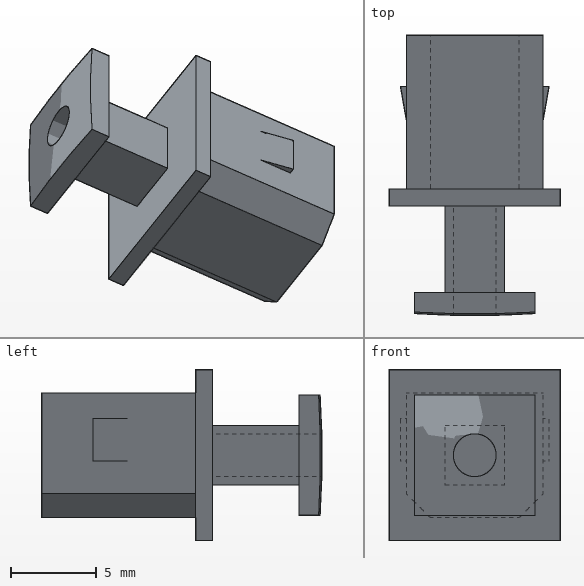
import cadquery as cq
import math

flange_size = 10.0
flange_thickness = 1.0

body_width = 8.0
body_length = 9.0
body_height = 7.3
body_top = body_height / 2
body_chamfer = 1.4

wedge_length = 2.0
wedge_height = 2.5
wedge_protrusion = 0.35
wedge_tip_setback = 3.0
wedge_top_setback = 1.5

neck_size = 3.5
neck_length = 5.04
head_size = 7.05
head_rim_thickness = 1.35
dome_radius = 60.0
hole_diameter = 2.5
hole_depth = head_rim_thickness + neck_length

dome_cap = dome_radius - math.sqrt(dome_radius**2 - (hole_diameter / 2) ** 2)
head_thickness = head_rim_thickness + dome_cap

neck_start = -flange_thickness
head_start = neck_start - neck_length
dome_apex = head_start - head_thickness


def square_block(size, start, length):
    """Square block centred on the Y axis, running from Y = start towards -Y."""
    return cq.Workplane("XZ", origin=(0, start, 0)).rect(size, size).extrude(length)


def make_body():
    """Plug body with its two lower long edges chamfered."""
    body = cq.Workplane("XY").box(body_width, body_length, body_height)
    body = body.edges("|Y and <Z").chamfer(body_chamfer)
    return body.translate((0, body_length / 2, 0))


def make_wedge(side):
    """Snap wedge on the +X (side = 1) or -X (side = -1) face of the body."""
    wall = side * body_width / 2
    tip = wall + side * wedge_protrusion
    high_end = body_length - wedge_tip_setback
    low_end = high_end - wedge_length
    wedge_bottom = body_top - wedge_top_setback - wedge_height
    outline = [(0, low_end), (wall, low_end), (tip, high_end), (0, high_end)]
    base = cq.Workplane("XY", origin=(0, 0, wedge_bottom))
    return base.polyline(outline).close().extrude(wedge_height)


def make_head():
    """Square head whose end face is a shallow sphere, convex towards -Y."""
    dome = cq.Workplane("XY").sphere(dome_radius).translate((0, dome_apex + dome_radius, 0))
    return square_block(head_size, head_start, head_thickness).intersect(dome)


def make_hole():
    """Blind hole entering the head along the Y axis."""
    return (
        cq.Workplane("XZ", origin=(0, neck_start, 0))
        .circle(hole_diameter / 2)
        .extrude(hole_depth + dome_cap)
    )


result = square_block(flange_size, 0, flange_thickness).union(make_body())
for side in (-1, 1):
    result = result.union(make_wedge(side))
result = result.union(square_block(neck_size, neck_start, neck_length))
result = result.union(make_head()).cut(make_hole())